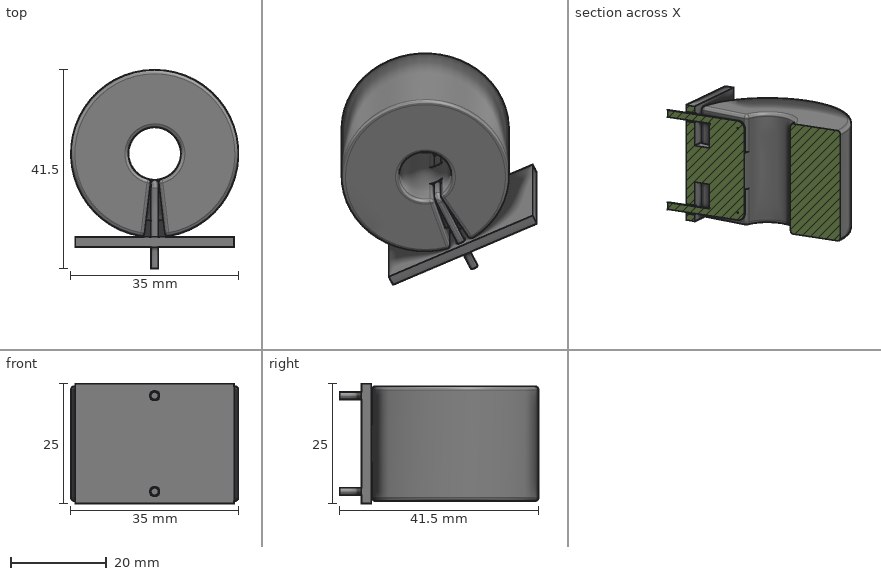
import cadquery as cq
import math

CASING_RADIUS = 17.5
CASING_HEIGHT = 24.0
BORE_RADIUS = 5.45
EDGE_ROUND = 0.8

SLOT_HALF_ANGLE = 6.8
SLOT_AXIS_HALF_WIDTH = 0.14
WEB_HEIGHT = 8.0

PLATE_WIDTH = 33.2
PLATE_HEIGHT = 25.0
PLATE_THICKNESS = 2.1
PLATE_PIN_SIDE_Y = -19.5

WIRE_DIAMETER = 1.6
PIN_SPACING = 20.0
PIN_END_Y = -24.0
PIN_HOLE_DIAMETER = 2.0
WIRE_BEND_RADIUS = 0.9
WIRE_BORE_GAP = 0.02

CORE_RADIUS = 14.0
CORE_ROUND = 0.6
WIRE_SEAT = 0.1

wire_bridge_y = -(BORE_RADIUS + WIRE_BORE_GAP + WIRE_DIAMETER / 2)
core_inner_radius = -wire_bridge_y + WIRE_DIAMETER / 2 - WIRE_SEAT
core_height = PIN_SPACING - WIRE_DIAMETER + 2 * WIRE_SEAT


def slot_outline(end_radius):
    """Wedge outline running along -Y, from inside the bore out to end_radius."""
    start = BORE_RADIUS / 2
    slope = math.tan(math.radians(SLOT_HALF_ANGLE))
    start_half = SLOT_AXIS_HALF_WIDTH + start * slope
    end_half = SLOT_AXIS_HALF_WIDTH + end_radius * slope
    return cq.Workplane("XY").polyline(
        [(-start_half, -start), (start_half, -start), (end_half, -end_radius), (-end_half, -end_radius)]
    ).close()


def ring(outer_radius, inner_radius, height):
    """Ring about the Z axis, centred on Z = 0."""
    return (
        cq.Workplane("XY", origin=(0, 0, -height / 2))
        .circle(outer_radius)
        .circle(inner_radius)
        .extrude(height)
    )


def make_casing():
    """Drum with a wedge slot in each end; the slot corners and both end outlines are rounded."""
    slots = slot_outline(2 * CASING_RADIUS).extrude(CASING_HEIGHT, both=True)
    web = cq.Workplane("XY").box(4 * CASING_RADIUS, 4 * CASING_RADIUS, WEB_HEIGHT)
    drum = ring(CASING_RADIUS, BORE_RADIUS, CASING_HEIGHT).cut(slots.cut(web))
    slot_corners = cq.selectors.BoxSelector(
        (-CASING_RADIUS / 2, -CASING_RADIUS, -CASING_HEIGHT),
        (CASING_RADIUS / 2, 0, CASING_HEIGHT),
    )
    drum = drum.edges("|Z").edges(slot_corners).fillet(EDGE_ROUND)
    return drum.faces("<Z or >Z").edges().fillet(EDGE_ROUND)


def make_core():
    """The stretch of the rounded ring core that lies in the slots."""
    core = ring(CORE_RADIUS, core_inner_radius, core_height).faces("|Z").edges().fillet(CORE_ROUND)
    return core.intersect(slot_outline(CASING_RADIUS).extrude(core_height, both=True))


def make_plate():
    """Mounting plate with a clearance hole around each pin."""
    plate = cq.Workplane("XY").box(
        PLATE_WIDTH, PLATE_THICKNESS, PLATE_HEIGHT, centered=(True, False, True)
    ).translate((0, PLATE_PIN_SIDE_Y, 0))
    holes = (
        cq.Workplane("XZ", origin=(0, PLATE_PIN_SIDE_Y + PLATE_THICKNESS, 0))
        .rarray(1, PIN_SPACING, 1, 2)
        .circle(PIN_HOLE_DIAMETER / 2)
        .extrude(PLATE_THICKNESS)
    )
    return plate.cut(holes)


def make_wire():
    """U-shaped wire: two legs along Y joined by a straight bridge along Z next to the bore."""
    leg_z = PIN_SPACING / 2
    bend_y = wire_bridge_y - WIRE_BEND_RADIUS
    bend_z = leg_z - WIRE_BEND_RADIUS
    bend_mid = WIRE_BEND_RADIUS * math.sqrt(0.5)
    path = (
        cq.Workplane("YZ")
        .moveTo(PIN_END_Y, leg_z)
        .lineTo(bend_y, leg_z)
        .threePointArc((bend_y + bend_mid, bend_z + bend_mid), (wire_bridge_y, bend_z))
        .lineTo(wire_bridge_y, -bend_z)
        .threePointArc((bend_y + bend_mid, -bend_z - bend_mid), (bend_y, -leg_z))
        .lineTo(PIN_END_Y, -leg_z)
    )
    profile = cq.Workplane("XZ", origin=(0, PIN_END_Y, leg_z)).circle(WIRE_DIAMETER / 2)
    return profile.sweep(path)


result = make_casing().union(make_core()).union(make_wire()).union(make_plate())